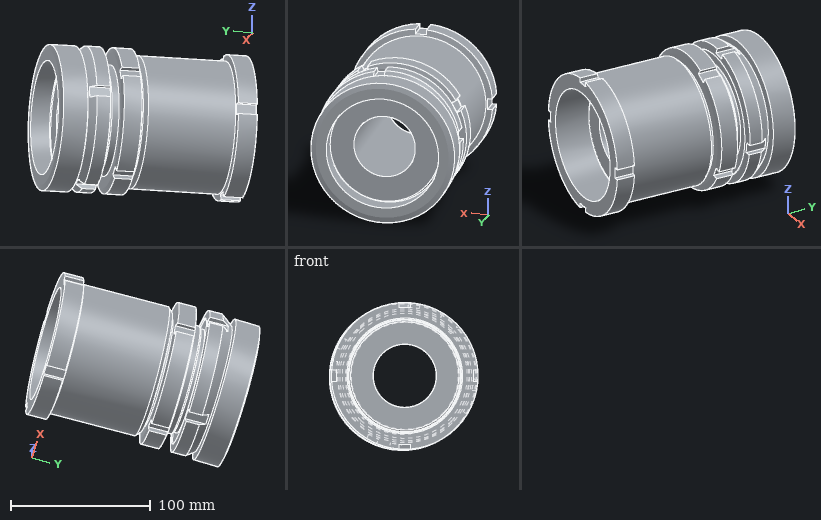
import cadquery as cq
import math


ring_radius = 52.5
ring_height = 14.9
edge_width = 4.1
edge_height = 1.0
thread_radius = 40.0
slot_width = 8.0
slot_floor = 49.0
slot_count = 4
slot_overcut = 1.5

sleeve_radius = 47.8
sleeve_length = 82.0
sleeve_chamfer = 3.0
recess_radius = 41.4
recess_depth = 30.0
lead_chamfer = 0.6

lock_start = 83.7
lock_turn = 27.0

spindle_start = 25.6
thread_chamfer = 1.2
bore_radius = 22.5
thread_end = 104.9
relief_radius = 38.3
head_start = 106.7
underside_radius = 46.5
underside_depth = 1.0
head_rim_end = 117.5
head_slot_end = 122.2
head_turn = 7.4
ball_radius = 62.5

cap_start = 124.8
cap_height = 20.0
cap_bore_radius = 41.0
cap_tilt_x = -0.9
cap_tilt_z = 1.5

ball_center = head_rim_end - math.sqrt(ball_radius**2 - ring_radius**2)


def ball_height(radius):
    """Return the y at which the ball surface has the given radius about the Y axis."""
    return ball_center + math.sqrt(ball_radius**2 - radius**2)


def revolve(outline):
    """Turn a closed half outline of (radius, y) about the Y axis."""
    return outline.close().revolve(360, (0, 0), (0, 1))


def slots(start, end, turn):
    """Cutters for the spanner slots around a ring, from y = start to y = end."""
    depth = ring_radius - slot_floor + slot_overcut
    cutters = cq.Workplane("XY")
    for index in range(slot_count):
        cutter = (
            cq.Workplane("XY")
            .box(slot_width, end - start, depth, centered=(True, False, False))
            .translate((0, start, slot_floor))
            .rotate((0, 0, 0), (0, 1, 0), turn + index * 360 / slot_count)
        )
        cutters = cutters.add(cutter)
    return cutters.combine()


def make_sleeve():
    """Flanged sleeve, threaded above a wider recess in its flange end."""
    body = revolve(
        cq.Workplane("XY")
        .moveTo(recess_radius, 0)
        .lineTo(ring_radius, 0)
        .lineTo(ring_radius, ring_height - edge_height)
        .lineTo(sleeve_radius, ring_height)
        .lineTo(sleeve_radius, sleeve_length - sleeve_chamfer)
        .lineTo(sleeve_radius - sleeve_chamfer, sleeve_length)
        .lineTo(thread_radius, sleeve_length)
        .lineTo(thread_radius, recess_depth + lead_chamfer)
        .lineTo(thread_radius + lead_chamfer, recess_depth)
        .lineTo(recess_radius, recess_depth)
    )
    return body.cut(slots(0, ring_height, 0))


def make_lock_ring():
    """Slotted ring on the thread, bevelled on both faces."""
    lock_end = lock_start + ring_height
    body = revolve(
        cq.Workplane("XY")
        .moveTo(thread_radius, lock_start)
        .lineTo(ring_radius - edge_width, lock_start)
        .lineTo(ring_radius, lock_start + edge_height)
        .lineTo(ring_radius, lock_end - edge_height)
        .lineTo(ring_radius - edge_width, lock_end)
        .lineTo(thread_radius, lock_end)
    )
    return body.cut(slots(lock_start, lock_end, lock_turn))


def make_spindle():
    """Hollow threaded spindle with a slotted head and a spherical crown."""
    crown_end = ball_height(cap_bore_radius)
    middle_radius = (ring_radius + cap_bore_radius) / 2
    body = revolve(
        cq.Workplane("XY")
        .moveTo(bore_radius, spindle_start)
        .lineTo(thread_radius - thread_chamfer, spindle_start)
        .lineTo(thread_radius, spindle_start + thread_chamfer)
        .lineTo(thread_radius, thread_end - thread_chamfer)
        .lineTo(thread_radius - thread_chamfer, thread_end)
        .lineTo(relief_radius, thread_end)
        .lineTo(relief_radius, head_start + underside_depth)
        .lineTo(underside_radius, head_start + underside_depth)
        .lineTo(underside_radius, head_start)
        .lineTo(ring_radius - edge_width, head_start)
        .lineTo(ring_radius, head_start + edge_height)
        .lineTo(ring_radius, head_rim_end)
        .threePointArc((middle_radius, ball_height(middle_radius)), (cap_bore_radius, crown_end))
        .lineTo(bore_radius, crown_end)
    )
    return body.cut(slots(head_start, head_slot_end, head_turn))


def make_cap():
    """Bored cap on the crown, tilted about the ball centre."""
    cap_end = cap_start + cap_height
    seat_radius = math.sqrt(ball_radius**2 - (cap_start - ball_center) ** 2)
    middle_radius = (seat_radius + cap_bore_radius) / 2
    body = revolve(
        cq.Workplane("XY")
        .moveTo(seat_radius, cap_start)
        .lineTo(ring_radius - edge_width, cap_start)
        .lineTo(ring_radius, cap_start + edge_height)
        .lineTo(ring_radius, cap_end - edge_height)
        .lineTo(ring_radius - edge_width, cap_end)
        .lineTo(cap_bore_radius, cap_end)
        .lineTo(cap_bore_radius, ball_height(cap_bore_radius))
        .threePointArc((middle_radius, ball_height(middle_radius)), (seat_radius, cap_start))
    )
    pivot = (0, ball_center, 0)
    body = body.rotate(pivot, (1, ball_center, 0), cap_tilt_x)
    return body.rotate(pivot, (0, ball_center, 1), cap_tilt_z)


sleeve = make_sleeve()
lock_ring = make_lock_ring()
spindle = make_spindle()
cap = make_cap()

result = cq.Compound.makeCompound([sleeve.val(), lock_ring.val(), spindle.val(), cap.val()])